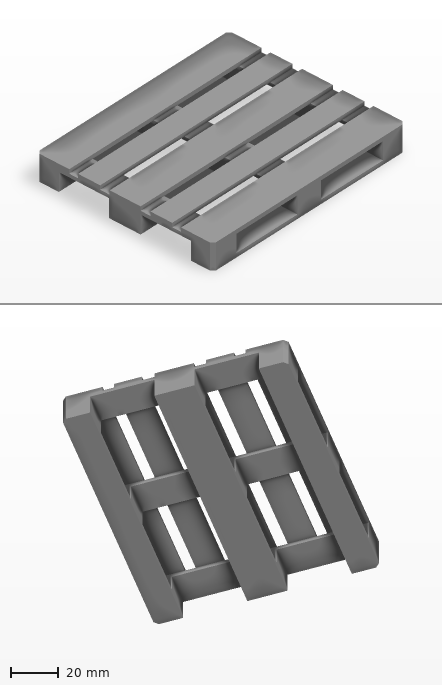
import cadquery as cq

width = 100.0
length = 120.0
height = 14.4
corner_chamfer = 1.8

deck_thickness = 2.3
stringer_thickness = 1.9
skid_thickness = 2.3

deck_boards = [(0, 18.5), (23.5, 36.0), (41.4, 58.9), (64.5, 76.8), (81.8, width)]
skids = [(0, 12.6), (41.0, 58.9), (87.4, width)]

block_rows = [(0, 14.6), (52.7, 67.5), (106.1, length)]

deck_bottom = height - deck_thickness
stringer_bottom = deck_bottom - stringer_thickness
full_width = (0, width)
full_length = (0, length)


def slab(x_span, y_span, z_span):
    """Box filling the given spans, with X and Y measured from the pallet corner."""
    x_start, x_end = x_span
    y_start, y_end = y_span
    z_start, z_end = z_span
    return (
        cq.Workplane("XY")
        .box(x_end - x_start, y_end - y_start, z_end - z_start, centered=False)
        .translate((x_start - width / 2, y_start - length / 2, z_start))
    )


pieces = [slab(board, full_length, (deck_bottom, height)) for board in deck_boards]
pieces += [slab(skid, full_length, (0, skid_thickness)) for skid in skids]

for row in block_rows:
    pieces.append(slab(full_width, row, (stringer_bottom, deck_bottom)))
    for skid in skids:
        pieces.append(slab(skid, row, (skid_thickness, stringer_bottom)))

pallet = pieces[0]
for piece in pieces[1:]:
    pallet = pallet.union(piece)

envelope = (
    cq.Workplane("XY")
    .box(width, length, height, centered=(True, True, False))
    .edges("|Z")
    .chamfer(corner_chamfer)
)
result = pallet.intersect(envelope).clean()